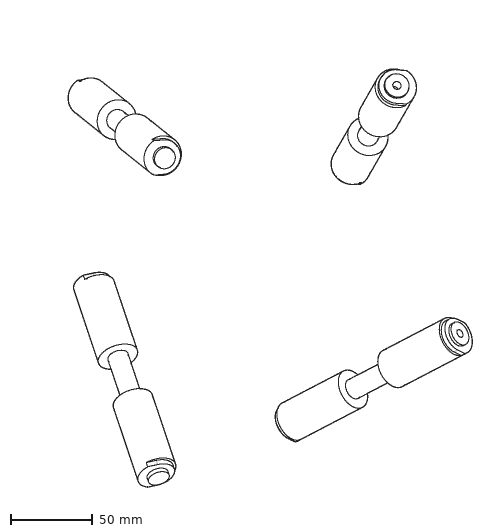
import cadquery as cq
import math

total_length = 154.5
collar_length = 2.0
roller_length = 57.5
journal_length = 2.8

roller_diameter = 25.3
rod_diameter = 13.0
collar_diameter = 15.3
journal_diameter = 13.5

end_width = 22.0
end_length = 3.2

hole_diameter = 5.1
hole_depth = 9.3
drill_point_angle = 118.0

x_start = -total_length / 2
x_end = total_length / 2
left_roller_start = x_start + collar_length
left_roller_end = left_roller_start + roller_length
right_roller_end = x_end - journal_length
right_roller_start = right_roller_end - roller_length


def shaft_section(x_from, x_to, diameter):
    """Solid cylinder along X between two stations."""
    return cq.Workplane("YZ", origin=(x_from, 0, 0)).circle(diameter / 2).extrude(x_to - x_from)


def roller_end_waste(x_from):
    """Material outside the U-shaped roller end, over the end length."""
    half_width = end_width / 2
    blank = shaft_section(x_from, x_from + end_length, 2 * roller_diameter)
    kept = (
        cq.Workplane("YZ", origin=(x_from, 0, 0))
        .moveTo(-roller_diameter, -half_width)
        .lineTo(0, -half_width)
        .threePointArc((half_width, 0), (0, half_width))
        .lineTo(-roller_diameter, half_width)
        .close()
        .extrude(end_length)
    )
    return blank.cut(kept)


def centre_hole():
    """Blind drilled hole with a conical bottom, as a revolved cutter."""
    radius = hole_diameter / 2
    point_length = radius / math.tan(math.radians(drill_point_angle / 2))
    return (
        cq.Workplane("XY")
        .moveTo(x_start, 0)
        .lineTo(x_start, radius)
        .lineTo(x_start + hole_depth, radius)
        .lineTo(x_start + hole_depth + point_length, 0)
        .close()
        .revolve(360, (0, 0, 0), (1, 0, 0))
    )


left_roller = shaft_section(left_roller_start, left_roller_end, roller_diameter)
left_roller = left_roller.cut(roller_end_waste(left_roller_start))
right_roller = shaft_section(right_roller_start, right_roller_end, roller_diameter)
right_roller = right_roller.cut(roller_end_waste(right_roller_end - end_length))

rod = shaft_section(left_roller_end, right_roller_start, rod_diameter)
collar = shaft_section(x_start, left_roller_start, collar_diameter)
journal = shaft_section(right_roller_end, x_end, journal_diameter)

result = left_roller.union(rod).union(right_roller).union(collar).union(journal).cut(centre_hole())